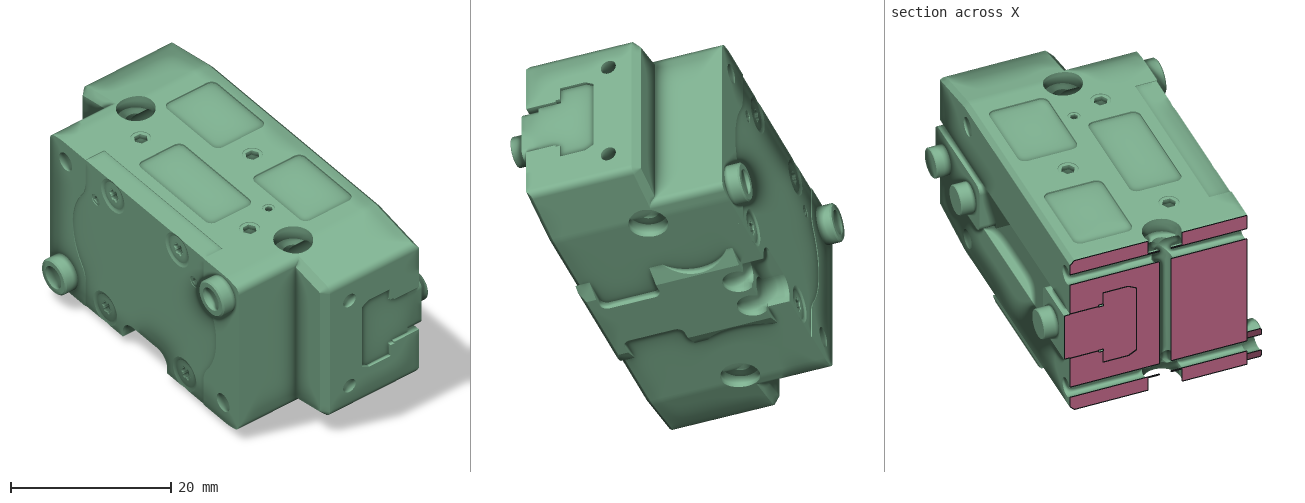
import cadquery as cq
import math


LENGTH = 50.0
HEIGHT = 24.0
DEPTH = 24.0
HALF_DEPTH = DEPTH / 2
HALF_HEIGHT = HEIGHT / 2
FLAT_LENGTH = 34.0
END_DROP = 1.5
SLOPE_ROUND = 5.0
SIDE_ROUND = 1.0
ARM_DEPTH = 15.0
ARM_FRONT_CHAMFER = 0.9
BACK_CHAMFER = 0.6
NOSE_WIDTH = 38.35
ARM_FRONT = HALF_DEPTH - ARM_DEPTH

MOUNT_X = 16.0
MOUNT_Z = 9.0
MOUNT_Y = -0.9
MOUNT_HOLE = 2.6
MOUNT_BORE = 5.0
MOUNT_BORE_DEPTH = 2.0

END_HOLE = 2.0
END_HOLE_DEPTH = 3.0
END_HOLE_Y = 1.0
END_HOLE_Z = 7.0
DRILL_POINT_ANGLE = 118.0

JAW_LENGTH = 14.25
JAW_X = 17.4
JAW_PROUD = 0.8
STEM_WIDTH = 7.0
HEAD_WIDTH = 11.0
HEAD_START = 4.5
HEAD_END = 9.0
HEAD_CORNER_Y = 1.1
HEAD_CORNER_Z = 0.6
JAW_CORNER_CUT = 1.0
JAW_CORNER_DEPTH = 2.25
SLOT_RELIEF_Y = 0.6
SLOT_RELIEF_Z = 0.25
JAW_PIN = 4.0
JAW_PIN_SPACING = 8.0
PIN_LENGTH = 1.95
PIN_CHAMFER = 0.1

SLEEVE_OUTER = 5.0
SLEEVE_INNER = 3.2
SLEEVE_LENGTH = 1.95
SLEEVE_CHAMFER = 0.2

COVER_SEAT_DEPTH = 3.0
COVER_SETBACK = 0.1
COVER_WIDTH = 24.0
BULGE_RADIUS = 10.0
BULGE_X = 4.6
BULGE_BLEND = 3.75
COVER_BACK = COVER_SEAT_DEPTH - HALF_DEPTH
COVER_FRONT = COVER_SETBACK - HALF_DEPTH

SCREW_PLACES = [(-6.55, 9.65), (6.55, 9.65), (-8.05, -9.75), (8.05, -9.75)]
COUNTERSINK = 4.8
SCREW_HEAD = 3.8
HEAD_SINK = 0.2
HEAD_HEIGHT = 1.3
SCREW_SHANK = 2.0
SOCKET_CORE = 1.5
SOCKET_LOBES = 6
SOCKET_LOBE = 0.5
SOCKET_LOBE_RADIUS = 0.7
SOCKET_DEPTH = 0.75

SET_SCREW = 2.6
SET_SCREW_HEX = 1.85
SET_SCREW_PLACES = [(0.0, 5.1), (-11.05, -3.95), (11.05, -3.95)]
SMALL_SET_SCREW = 1.6
SMALL_SET_SCREW_HEX = 1.05
SMALL_SET_SCREW_PLACE = (9.4, 0.35)
COVER_SET_SCREW_PLACES = [(-10.0, 6.75), (10.0, 6.75)]
SET_SCREW_RECESS = 0.1
SET_SCREW_HEX_DEPTH = 0.8

LABEL_DEPTH = 0.25
LABEL_ROUND = 1.0
SIDE_LABEL = (11.0, 8.0)
SIDE_LABEL_PLACES = [(-8.9, 6.1), (8.9, 6.1)]
MIDDLE_LABEL = (15.0, 7.0)
MIDDLE_LABEL_PLACE = (0.0, -3.95)

BOSS_HEIGHT = 1.0
BOSS_ROOT = 15.8
BOSS_FOOT = 11.1
BOSS_CLEARANCE_RADIUS = 5.3
CABLE_X = 2.5
CABLE_Z = -11.2
CABLE_HOLE = 4.0
CABLE_INSET = 1.25


def along_y(outline_start):
    """Workplane facing -Y at the given Y, with local x = X and local y = Z."""
    return cq.Workplane("XZ", origin=(0, outline_start, 0))


def sloped_prism(width, front, back):
    """Block between two Y planes whose top and bottom fall towards the ends."""
    half = width / 2
    flat = FLAT_LENGTH / 2
    end_height = HALF_HEIGHT - END_DROP * (half - flat) / (LENGTH / 2 - flat)
    upper = [(-half, end_height), (-flat, HALF_HEIGHT), (flat, HALF_HEIGHT), (half, end_height)]
    lower = [(x, -z) for x, z in reversed(upper)]
    prism = along_y(back).polyline(upper + lower).close().extrude(back - front)
    reach = (half + flat) / 2
    inner = cq.selectors.BoxSelector((-reach, front, -HEIGHT), (reach, back, HEIGHT))
    return prism.edges("|Y").edges(inner).fillet(SLOPE_ROUND)


def round_ends(prism):
    return prism.faces("<X or >X").edges("|Y").fillet(SIDE_ROUND)


def make_boss():
    """Tapered pad under the housing, cut back around the bottom labels and set screws."""
    bottom = -HALF_HEIGHT
    boss = (
        along_y(HALF_DEPTH)
        .polyline([
            (-BOSS_ROOT / 2, bottom), (BOSS_ROOT / 2, bottom),
            (BOSS_FOOT / 2, bottom - BOSS_HEIGHT), (-BOSS_FOOT / 2, bottom - BOSS_HEIGHT),
        ])
        .close()
        .extrude(DEPTH - COVER_SEAT_DEPTH)
    )
    boss = boss.faces("<Z").edges(">Y").chamfer(BACK_CHAMFER)
    below = cq.Workplane("XY", origin=(0, 0, bottom))
    labels = (
        below.pushPoints(SIDE_LABEL_PLACES).rect(*SIDE_LABEL).extrude(-BOSS_HEIGHT)
        .edges("|Z").fillet(LABEL_ROUND)
    )
    screws = (
        below.pushPoints(SET_SCREW_PLACES[1:]).circle(BOSS_CLEARANCE_RADIUS).extrude(-BOSS_HEIGHT)
    )
    return boss.cut(labels).cut(screws)


def make_housing_body():
    arms = sloped_prism(LENGTH, ARM_FRONT, HALF_DEPTH)
    arms = arms.faces(">Y").edges("not |Z").chamfer(BACK_CHAMFER)
    arms = round_ends(arms)
    arms = arms.faces("<Y").edges().chamfer(ARM_FRONT_CHAMFER)
    nose = round_ends(sloped_prism(NOSE_WIDTH, -HALF_DEPTH, 0))
    return arms.union(nose).union(make_boss())


def t_section(half_length, top):
    """Prism along X, centred at X = 0, with the T section of the jaw rail below the given top."""
    stem = STEM_WIDTH / 2
    head = HEAD_WIDTH / 2
    head_start = HALF_DEPTH - HEAD_START
    head_end = HALF_DEPTH - HEAD_END
    right = [
        (top, stem), (head_start, stem), (head_start, head),
        (head_end + HEAD_CORNER_Y, head), (head_end, head - HEAD_CORNER_Z),
    ]
    left = [(y, -z) for y, z in reversed(right)]
    return (
        cq.Workplane("YZ")
        .polyline(right + left).close().extrude(half_length, both=True)
    )


def make_t_slot():
    slot = t_section(LENGTH / 2, HALF_DEPTH)
    relief = cq.Workplane("XY").box(LENGTH, SLOT_RELIEF_Y, STEM_WIDTH + 2 * SLOT_RELIEF_Z)
    return slot.union(relief.translate((0, HALF_DEPTH - HEAD_START + SLOT_RELIEF_Y / 2, 0)))


def make_cover_outline(top):
    """Cover-shaped block reaching from its seat to the housing's front face."""
    front = -HALF_DEPTH
    blank = along_y(COVER_BACK)
    outline = blank.rect(COVER_WIDTH, HEIGHT).extrude(COVER_SEAT_DEPTH)
    for x in (-BULGE_X, BULGE_X):
        outline = outline.union(blank.center(x, 0).circle(BULGE_RADIUS).extrude(COVER_SEAT_DEPTH))
    reach = BULGE_X + BULGE_RADIUS
    joints = cq.selectors.BoxSelector(
        (-reach, front, -BULGE_RADIUS), (reach, COVER_BACK, BULGE_RADIUS)
    )
    outline = outline.edges("|Y").edges(joints).fillet(BULGE_BLEND)
    return outline.cut(
        cq.Workplane("XY").box(LENGTH, LENGTH, HEIGHT).translate((0, 0, top + HALF_HEIGHT))
    )


def cut_mounting_holes(body):
    for x in (-MOUNT_X, MOUNT_X):
        upright = cq.Workplane("XY").center(x, MOUNT_Y)
        body = body.cut(upright.circle(MOUNT_HOLE / 2).extrude(HEIGHT, both=True))
        for end in (-1, 1):
            mouth = upright.workplane(offset=end * HALF_HEIGHT).circle(MOUNT_BORE / 2)
            body = body.cut(mouth.extrude(-end * MOUNT_BORE_DEPTH))
        for z in (-MOUNT_Z, MOUNT_Z):
            level = cq.Workplane("XZ").center(x, z).circle(MOUNT_HOLE / 2)
            body = body.cut(level.extrude(DEPTH, both=True))
    return body


def cut_end_holes(body):
    radius = END_HOLE / 2
    point = radius / math.tan(math.radians(DRILL_POINT_ANGLE / 2))
    drill = (
        cq.Workplane("XY")
        .polyline([(0, 0), (END_HOLE_DEPTH + point, 0), (END_HOLE_DEPTH, radius), (0, radius)])
        .close()
        .revolve(360, (0, 0, 0), (1, 0, 0))
        .translate((-LENGTH / 2, END_HOLE_Y, 0))
    )
    for z in (-END_HOLE_Z, END_HOLE_Z):
        left = drill.translate((0, 0, z))
        body = body.cut(left).cut(left.mirror("YZ"))
    return body


def cut_labels(body):
    top = cq.Workplane("XY", origin=(0, 0, HALF_HEIGHT))
    side = top.pushPoints(SIDE_LABEL_PLACES).rect(*SIDE_LABEL).extrude(-LABEL_DEPTH)
    middle = top.center(*MIDDLE_LABEL_PLACE).rect(*MIDDLE_LABEL).extrude(-LABEL_DEPTH)
    for label in (side, middle):
        body = body.cut(label.edges("|Z").fillet(LABEL_ROUND))
    return body


def cut_set_screw(body, surface, place, diameter, hexagon):
    """Shallow round recess with a hexagon socket, sunk into the given surface plane."""
    spot = surface.center(*place)
    body = body.cut(spot.circle(diameter / 2).extrude(-SET_SCREW_RECESS))
    socket = spot.transformed(rotate=(0, 0, 90)).polygon(6, hexagon)
    return body.cut(socket.extrude(-SET_SCREW_HEX_DEPTH))


def cut_cable_exits(body):
    """Cable elbows that enter from the cover seat and turn down through the boss."""
    radius = CABLE_HOLE / 2
    for x in (-CABLE_X, CABLE_X):
        bend = cq.Workplane("XY", origin=(x, COVER_BACK + CABLE_INSET, CABLE_Z))
        entry = cq.Workplane("XZ", origin=bend.plane.origin.toTuple())
        body = body.cut(bend.sphere(radius))
        body = body.cut(bend.circle(radius).extrude(-HALF_HEIGHT))
        body = body.cut(entry.circle(radius).extrude(CABLE_INSET))
    return body


def make_housing():
    body = make_housing_body()
    body = body.cut(make_t_slot())
    body = body.cut(make_cover_outline(HALF_HEIGHT))
    body = cut_mounting_holes(body)
    body = cut_end_holes(body)
    body = cut_labels(body)
    top = cq.Workplane("XY", origin=(0, 0, HALF_HEIGHT))
    for place in SET_SCREW_PLACES:
        body = cut_set_screw(body, top, place, SET_SCREW, SET_SCREW_HEX)
    body = cut_set_screw(body, top, SMALL_SET_SCREW_PLACE, SMALL_SET_SCREW, SMALL_SET_SCREW_HEX)
    return cut_cable_exits(body)


def screw_blank(x, z):
    """Plain screw whose head lies just below the cover face and whose shank ends at the cover seat."""
    top = COVER_FRONT + HEAD_SINK
    head = along_y(top).center(x, z).circle(SCREW_HEAD / 2).extrude(-HEAD_HEIGHT)
    shank = along_y(top).center(x, z).circle(SCREW_SHANK / 2).extrude(top - COVER_BACK)
    return head.union(shank)


def make_screw(x, z):
    """Cover screw with a six-lobe socket."""
    head_face = along_y(COVER_FRONT + HEAD_SINK).center(x, z)
    screw = screw_blank(x, z).cut(head_face.circle(SOCKET_CORE / 2).extrude(-SOCKET_DEPTH))
    lobes = head_face.polarArray(SOCKET_LOBE_RADIUS, 0, 360, SOCKET_LOBES).circle(SOCKET_LOBE / 2)
    return screw.cut(lobes.extrude(-SOCKET_DEPTH))


def make_countersink(x, z):
    rim = along_y(COVER_FRONT).center(x, z).circle(COUNTERSINK / 2)
    return rim.workplane(offset=-HEAD_SINK).circle(SCREW_HEAD / 2).loft()


def make_cover():
    cover = make_cover_outline(HALF_HEIGHT - COVER_SETBACK)
    cover = cover.intersect(cq.Workplane("XY").box(LENGTH, -2 * COVER_FRONT, HEIGHT))
    for x, z in SCREW_PLACES:
        cover = cover.cut(make_countersink(x, z)).cut(screw_blank(x, z))
    for place in COVER_SET_SCREW_PLACES:
        cover = cut_set_screw(cover, along_y(COVER_FRONT), place, SMALL_SET_SCREW, SMALL_SET_SCREW_HEX)
    notch_width = 2 * CABLE_X + CABLE_HOLE
    notch_top = CABLE_Z + CABLE_HOLE / 2
    notch = along_y(COVER_BACK).center(0, notch_top - CABLE_HOLE).rect(notch_width, 2 * CABLE_HOLE)
    notch = notch.extrude(COVER_SEAT_DEPTH).faces(">Z").edges("|Y").fillet(CABLE_HOLE / 2)
    return cover.cut(notch)


def make_jaw(side):
    face = HALF_DEPTH + JAW_PROUD
    jaw = t_section(JAW_LENGTH / 2, face)
    plate = along_y(face).rect(JAW_LENGTH, STEM_WIDTH).extrude(JAW_CORNER_DEPTH)
    rounded = plate.edges("|Y").fillet(JAW_CORNER_CUT)
    jaw = jaw.cut(plate.cut(rounded))
    half_spacing = JAW_PIN_SPACING / 2
    pins = (
        along_y(face).pushPoints([(-half_spacing, 0), (half_spacing, 0)])
        .circle(JAW_PIN / 2).extrude(-PIN_LENGTH)
        .faces(">Y").edges().chamfer(PIN_CHAMFER)
    )
    return jaw.union(pins).translate((side * JAW_X, 0, 0))


def make_sleeve(side):
    sleeve = (
        along_y(-HALF_DEPTH).center(side * MOUNT_X, side * MOUNT_Z)
        .circle(SLEEVE_OUTER / 2).circle(SLEEVE_INNER / 2).extrude(SLEEVE_LENGTH)
    )
    outer_rim = sleeve.faces("<Y").edges(cq.selectors.RadiusNthSelector(1))
    return outer_rim.chamfer(SLEEVE_CHAMFER)


housing = make_housing()
cover = make_cover()
screws = [make_screw(x, z) for x, z in SCREW_PLACES]
jaws = [make_jaw(side) for side in (-1, 1)]
sleeves = [make_sleeve(side) for side in (-1, 1)]

result = cq.Compound.makeCompound([
    housing.val(),
    cover.val(),
    *[screw.val() for screw in screws],
    *[jaw.val() for jaw in jaws],
    *[sleeve.val() for sleeve in sleeves],
])